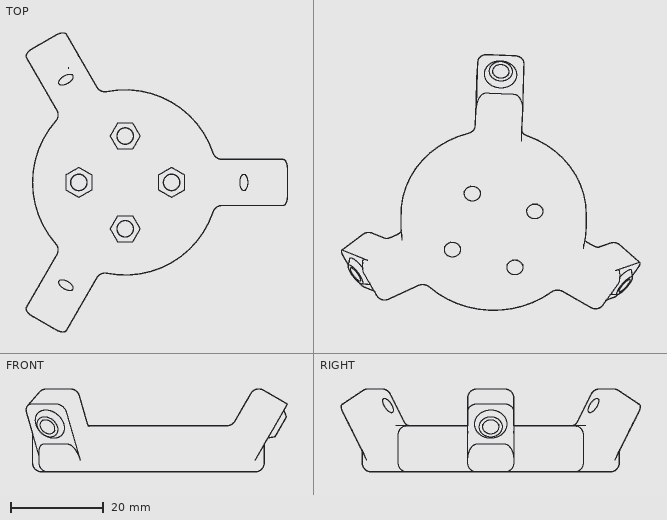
import cadquery as cq
import math

PLATE_RADIUS = 20.0
PLATE_HEIGHT = 10.0
ROUNDING = 2.0

ARM_COUNT = 3
ARM_REACH = 30.0
ARM_WIDTH = 10.0

POST_LEAN = math.radians(60)
POST_THICKNESS = 8.0
POST_FACE_LENGTH = 10.0
POST_FACE_START = 6.0

BORE_DIAMETER = 3.5
SPOUT_BASE_DIAMETER = 7.0
SPOUT_TIP_DIAMETER = 5.0
SPOUT_HEIGHT = 1.2

NUT_COUNT = 4
NUT_CIRCLE_RADIUS = 10.0
NUT_ACROSS_FLATS = 5.6
NUT_POCKET_DEPTH = 3.0
HEXAGON_SIDES = 6
SCREW_DIAMETER = 3.5

TOLERANCE = 1e-3

ALONG = (math.cos(POST_LEAN), math.sin(POST_LEAN))
OUTWARD = (math.sin(POST_LEAN), -math.cos(POST_LEAN))


def shifted(point, direction, distance):
    """Move a (radial, vertical) point along a unit direction."""
    return (point[0] + distance * direction[0], point[1] + distance * direction[1])


FACE_START = (ARM_REACH, POST_FACE_START)
FACE_CENTRE = shifted(FACE_START, ALONG, POST_FACE_LENGTH / 2)
FACE_END = shifted(FACE_START, ALONG, POST_FACE_LENGTH)
POST_TOP = shifted(FACE_END, OUTWARD, -POST_THICKNESS)


def radius_at_height(point, height):
    """Radial position where the post's slope through a point meets a height."""
    return point[0] + (height - point[1]) / math.tan(POST_LEAN)


POST_FOOT = radius_at_height(POST_TOP, PLATE_HEIGHT)


def around(shape, count):
    """Copies of a shape spread evenly about the Z axis."""
    return [shape.rotate((0, 0, 0), (0, 0, 1), i * 360 / count) for i in range(count)]


def axis_distance(edge):
    """Distance of an edge's middle from the Z axis."""
    middle = edge.Center()
    return math.hypot(middle.x, middle.y)


def at_distance(edges, distance):
    """Edges whose middle lies at the given distance from the Z axis."""
    return edges.filter(lambda edge: abs(axis_distance(edge) - distance) < TOLERANCE)


def make_plate():
    """Round plate with flat arms, rounded everywhere but along its top edge."""
    plate = cq.Workplane("XY").circle(PLATE_RADIUS).extrude(PLATE_HEIGHT)
    arm = cq.Workplane("XY").box(ARM_REACH, ARM_WIDTH, PLATE_HEIGHT, centered=(False, True, False))
    for copy in around(arm, ARM_COUNT):
        plate = plate.union(copy)
    end_corner_distance = math.hypot(ARM_REACH, ARM_WIDTH / 2)
    plate = at_distance(plate.edges("|Z"), PLATE_RADIUS).fillet(ROUNDING)
    plate = at_distance(plate.edges("|Z"), end_corner_distance).fillet(ROUNDING)
    return plate.faces("<Z").edges().fillet(ROUNDING)


def make_post():
    """Leaning post of the arm along +X, starting above the rounded bottom edge."""
    outline = [
        (radius_at_height(FACE_START, ROUNDING), ROUNDING),
        FACE_END,
        POST_TOP,
        (POST_FOOT, PLATE_HEIGHT),
        (POST_FOOT, ROUNDING),
    ]
    return cq.Workplane("XZ").polyline(outline).close().extrude(ARM_WIDTH / 2, both=True)


def round_upper_edges(body):
    """Round the inner foot of each post, then the plate's rim and the post edges above it."""
    foot_edges = at_distance(body.edges("#Z"), POST_FOOT)
    body = foot_edges.fillet(ROUNDING)

    foot = (POST_FOOT, PLATE_HEIGHT)
    seam_offset = ROUNDING * math.tan(POST_LEAN / 2)
    kept_distances = [foot[0] - seam_offset, shifted(foot, ALONG, seam_offset)[0], FACE_END[0]]

    def is_rim(edge):
        if edge.Center().z < PLATE_HEIGHT - TOLERANCE:
            return False
        return all(abs(axis_distance(edge) - kept) > TOLERANCE for kept in kept_distances)

    return body.edges().filter(is_rim).fillet(ROUNDING)


def post_face():
    """Workplane centred on the outer face of the post along +X, facing out of it."""
    return cq.Workplane(
        cq.Plane(
            origin=(FACE_CENTRE[0], 0, FACE_CENTRE[1]),
            xDir=(0, 1, 0),
            normal=(OUTWARD[0], 0, OUTWARD[1]),
        )
    )


def make_spout():
    """Cone standing on the outer face of the post along +X."""
    return (
        post_face()
        .circle(SPOUT_BASE_DIAMETER / 2)
        .workplane(offset=SPOUT_HEIGHT)
        .circle(SPOUT_TIP_DIAMETER / 2)
        .loft()
    )


def make_bore():
    """Bore through the spout and post along +X."""
    return (
        post_face()
        .workplane(offset=-POST_THICKNESS)
        .circle(BORE_DIAMETER / 2)
        .extrude(POST_THICKNESS + SPOUT_HEIGHT)
    )


def make_nut_seat():
    """Through screw hole with a hexagonal pocket, on +X with two flats facing the plate's centre."""
    across_corners = NUT_ACROSS_FLATS / math.cos(math.pi / HEXAGON_SIDES)
    screw_hole = cq.Workplane("XY").circle(SCREW_DIAMETER / 2).extrude(PLATE_HEIGHT)
    pocket = (
        cq.Workplane("XY", origin=(0, 0, PLATE_HEIGHT - NUT_POCKET_DEPTH))
        .transformed(rotate=(0, 0, 180 / HEXAGON_SIDES))
        .polygon(HEXAGON_SIDES, across_corners)
        .extrude(NUT_POCKET_DEPTH)
    )
    return screw_hole.union(pocket).translate((NUT_CIRCLE_RADIUS, 0, 0))


def make_part():
    """Three-armed plate with spouted posts and four nut seats."""
    body = make_plate()
    for post in around(make_post(), ARM_COUNT):
        body = body.union(post)
    body = round_upper_edges(body)
    for spout in around(make_spout(), ARM_COUNT):
        body = body.union(spout)
    for bore in around(make_bore(), ARM_COUNT):
        body = body.cut(bore)
    for nut_seat in around(make_nut_seat(), NUT_COUNT):
        body = body.cut(nut_seat)
    return body


result = make_part()